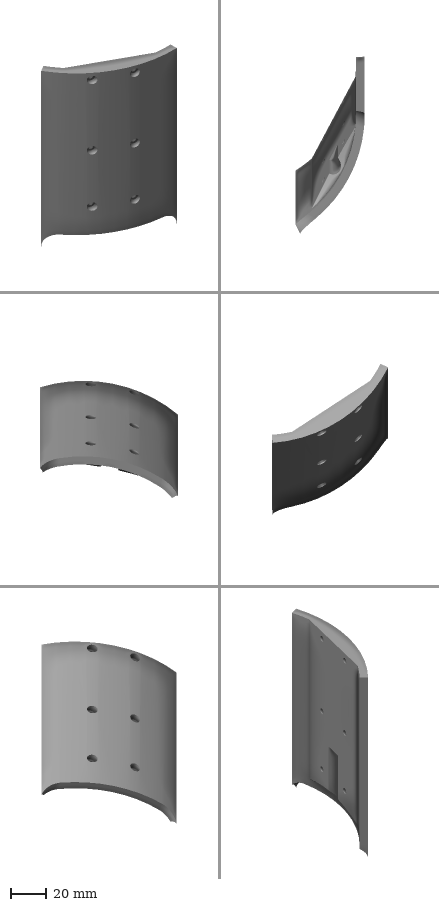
import cadquery as cq
import math

height = 125.0
outer_radius = 79.9
wall = 4.9
inner_radius = outer_radius - wall
half_angle = 30.0
facing_angle = -45.0

flat_distance = 70.0
pad_bottom = 15.0

arch_height = 10.0

hole_levels = (30.0, 70.0, 120.0)
hole_offset = 12.6
hole_diameter = 3.5
head_diameter = 6.0
head_seat = 75.0

groove_radius = 5.5
groove_center = 68.5
groove_top = 50.0



def polar(radius, angle):
    return (radius * math.cos(math.radians(angle)), radius * math.sin(math.radians(angle)))


def sector(inside, outside):
    """Full-height ring segment between two radii."""
    return (
        cq.Workplane("XY")
        .moveTo(*polar(inside, -half_angle))
        .lineTo(*polar(outside, -half_angle))
        .threePointArc((outside, 0), polar(outside, half_angle))
        .lineTo(*polar(inside, half_angle))
        .threePointArc((inside, 0), polar(inside, -half_angle))
        .close()
        .extrude(height)
    )


def make_pad():
    """Flat-faced filling of the inner wall, with a 45 degree conical underside."""
    half_width = math.sqrt(inner_radius**2 - flat_distance**2)
    overlap = wall / 2
    root_radius = inner_radius + overlap
    root_level = pad_bottom - overlap
    pad = (
        cq.Workplane("XY")
        .box(root_radius - flat_distance, 2 * half_width, height, centered=(False, True, False))
        .translate((flat_distance, 0, 0))
    )
    sloped_disc = (
        cq.Workplane("XZ")
        .moveTo(0, root_level + root_radius)
        .lineTo(root_radius, root_level)
        .lineTo(root_radius, height)
        .lineTo(0, height)
        .close()
        .revolve(360, (0, 0, 0), (0, 1, 0))
    )
    return pad.intersect(sloped_disc)


def make_arch():
    """Cutout through the wall with quarter-round corners that run out at the outer edges."""
    half_span = outer_radius * math.sin(math.radians(half_angle))
    corner = half_span - arch_height
    diagonal = arch_height * math.sqrt(0.5)
    return (
        cq.Workplane("YZ")
        .moveTo(-half_span, 0)
        .threePointArc((-corner - diagonal, diagonal), (-corner, arch_height))
        .lineTo(corner, arch_height)
        .threePointArc((corner + diagonal, diagonal), (half_span, 0))
        .close()
        .extrude(2 * outer_radius)
    )


def make_holes():
    """Counterbored holes square to the flat, with their heads on the outside."""
    centers = [(side * hole_offset, level) for level in hole_levels for side in (-1, 1)]
    shanks = cq.Workplane("YZ").pushPoints(centers).circle(hole_diameter / 2).extrude(2 * outer_radius)
    heads = (
        cq.Workplane("YZ", origin=(head_seat, 0, 0))
        .pushPoints(centers)
        .circle(head_diameter / 2)
        .extrude(outer_radius)
    )
    return shanks.union(heads)


groove = cq.Workplane("XY").center(groove_center, 0).circle(groove_radius).extrude(groove_top)

result = (
    sector(inner_radius, outer_radius)
    .union(make_pad())
    .cut(groove)
    .cut(make_arch())
    .cut(make_holes())
    .rotate((0, 0, 0), (0, 0, 1), facing_angle)
)